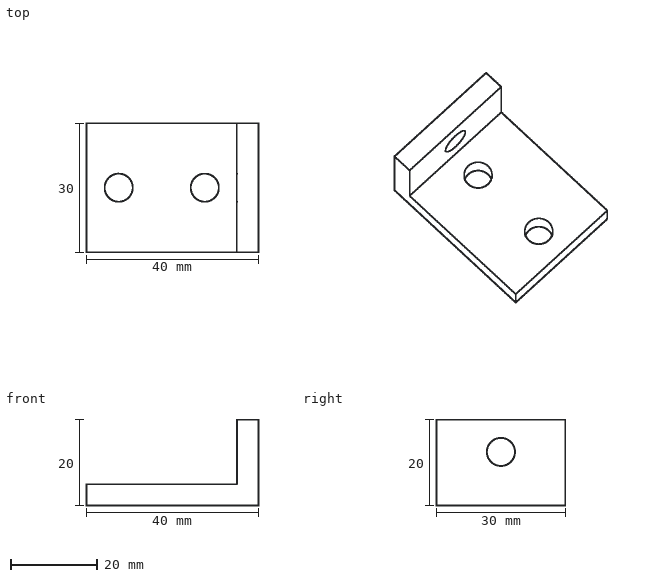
import cadquery as cq

length = 40.0
width = 30.0
height = 20.0
thickness = 5.0

hole_diameter = 6.5
first_hole_from_end = 7.5
hole_spacing = 20.0
wall_hole_height = (thickness + height) / 2

base = cq.Workplane("XY").box(length, width, thickness, centered=(False, True, False))
wall = (
    cq.Workplane("XY")
    .box(thickness, width, height, centered=(False, True, False))
    .translate((length - thickness, 0, 0))
)
bracket = base.union(wall)

base_holes = (
    cq.Workplane("XY")
    .pushPoints([(first_hole_from_end + i * hole_spacing, 0) for i in range(2)])
    .circle(hole_diameter / 2)
    .extrude(thickness)
)

wall_hole = (
    cq.Workplane("YZ", origin=(length - thickness, 0, wall_hole_height))
    .circle(hole_diameter / 2)
    .extrude(thickness)
)

result = bracket.cut(base_holes).cut(wall_hole)